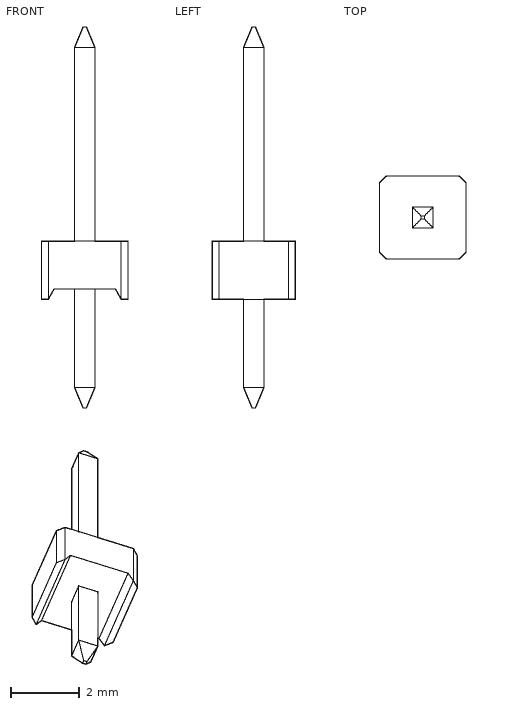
import cadquery as cq

pin_length = 11.2
pin_width = 0.6
tip_length = 0.6
tip_flat = 0.1

housing_length = 2.54
housing_width = 2.45
housing_height = 1.71
housing_bottom = 3.19
corner_chamfer = 0.2

channel_depth = 0.3
channel_top_width = 1.8
channel_mouth_width = housing_length - 2 * corner_chamfer


def make_tip(base_z, direction):
    """Tapered pin end that starts at base_z and narrows up (+1) or down (-1)."""
    return (
        cq.Workplane("XY", origin=(0, 0, base_z))
        .rect(pin_width, pin_width)
        .workplane(offset=direction * tip_length)
        .rect(tip_flat, tip_flat)
        .loft(ruled=True)
    )


def make_pin():
    shaft_length = pin_length - 2 * tip_length
    shaft = (
        cq.Workplane("XY", origin=(0, 0, tip_length))
        .rect(pin_width, pin_width)
        .extrude(shaft_length)
    )
    upper_tip = make_tip(pin_length - tip_length, 1)
    lower_tip = make_tip(tip_length, -1)
    return shaft.union(upper_tip).union(lower_tip)


def make_channel():
    """Trapezoidal cutter, wider at its mouth on the housing underside."""
    channel_top = housing_bottom + channel_depth
    return (
        cq.Workplane("XZ")
        .polyline([
            (-channel_mouth_width / 2, housing_bottom),
            (-channel_top_width / 2, channel_top),
            (channel_top_width / 2, channel_top),
            (channel_mouth_width / 2, housing_bottom),
        ])
        .close()
        .extrude(housing_width / 2, both=True)
    )


def make_housing():
    block = (
        cq.Workplane("XY", origin=(0, 0, housing_bottom))
        .rect(housing_length, housing_width)
        .extrude(housing_height)
        .edges("|Z")
        .chamfer(corner_chamfer)
    )
    pin_hole = (
        cq.Workplane("XY", origin=(0, 0, housing_bottom))
        .rect(pin_width, pin_width)
        .extrude(housing_height)
    )
    return block.cut(make_channel()).cut(pin_hole)


pin = make_pin()
housing = make_housing()

result = cq.Compound.makeCompound([housing.val(), pin.val()])